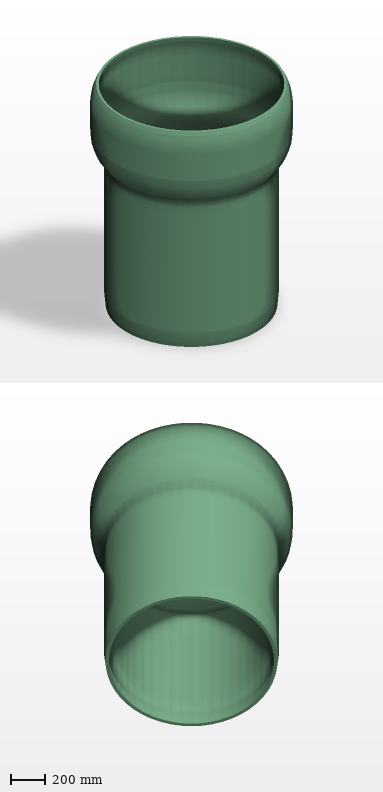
import cadquery as cq
import math

height = 1480.0
socket_radius = 1180.0 / 2
pipe_radius = 1020.0 / 2
bore_radius = 980.0 / 2
wall = pipe_radius - bore_radius

spigot_bend_z = 102.0
pipe_top_z = 950.0
socket_bottom_z = 1169.0
socket_top_z = 1354.0
rim_arc_top_z = 1458.0

shoulder_radius = 245.0
spigot_end_radius = 500.0
rim_outer_radius = 555.0
rim_inner_radius = 540.0

transition_height = socket_bottom_z - pipe_top_z
transition_width = socket_radius - pipe_radius
turn_angle = 2 * math.atan2(transition_width, transition_height)
neck_radius = transition_height / math.sin(turn_angle) - shoulder_radius
rim_turn_angle = math.asin((rim_arc_top_z - socket_top_z) / shoulder_radius)


def arc_point(center, radius, angle):
    """Point on an arc, with the angle measured from the radial direction."""
    return (center[0] + radius * math.cos(angle), center[1] + radius * math.sin(angle))


shoulder_center = (socket_radius - shoulder_radius, socket_bottom_z)
rim_center = (socket_radius - shoulder_radius, socket_top_z)
neck_center = (pipe_radius + neck_radius, pipe_top_z)


def neck_point(inset, angle):
    return arc_point(neck_center, -(neck_radius + inset), -angle)


def shoulder_point(inset, angle):
    return arc_point(shoulder_center, shoulder_radius - inset, -angle)


def rim_point(inset, angle):
    return arc_point(rim_center, shoulder_radius - inset, angle)


profile = (
    cq.Workplane("XZ")
    .moveTo(spigot_end_radius, 0)
    .lineTo(pipe_radius, spigot_bend_z)
    .lineTo(pipe_radius, pipe_top_z)
    .threePointArc(neck_point(0, turn_angle / 2), neck_point(0, turn_angle))
    .threePointArc(shoulder_point(0, turn_angle / 2), shoulder_point(0, 0))
    .lineTo(socket_radius, socket_top_z)
    .threePointArc(rim_point(0, rim_turn_angle / 2), rim_point(0, rim_turn_angle))
    .lineTo(rim_outer_radius, height)
    .lineTo(rim_inner_radius, height)
    .lineTo(*rim_point(wall, rim_turn_angle))
    .threePointArc(rim_point(wall, rim_turn_angle / 2), rim_point(wall, 0))
    .lineTo(socket_radius - wall, socket_bottom_z)
    .threePointArc(shoulder_point(wall, turn_angle / 2), shoulder_point(wall, turn_angle))
    .threePointArc(neck_point(wall, turn_angle / 2), neck_point(wall, 0))
    .lineTo(bore_radius, spigot_bend_z)
    .lineTo(spigot_end_radius - wall, 0)
    .close()
)

result = profile.revolve(360, (0, 0, 0), (0, 1, 0))